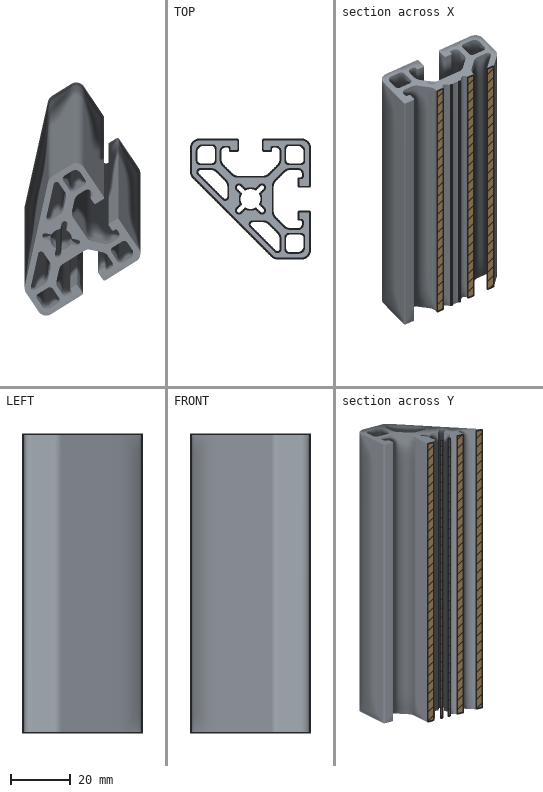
import cadquery as cq
import math

side = 40.0
length = 100.0
half = side / 2
corner_radius = 3.0
bevel_end = 8.0
bevel_wall = 2.0

slot_half_width = 4.1
lip_depth = 4.0
lip_inner_end = 7.0
flange_thickness = 2.5
chamber_half_width = 10.0
chamber_floor = 7.5
diagonal_offset = 2.1
chamber_radius = 1.5
step_radius = 0.5
flank_radius = 3.0
lip_radius = 0.5

channel_inner = 11.7
channel_outer = 18.0
channel_radius = 1.2
channel_outer_radius = 2.0

pocket_tip_radius = 1.0
pocket_flank_radius = 3.0

bore_radius = 3.6
groove_width = 2.0
groove_reach = 6.45

flank_at_floor = chamber_floor - diagonal_offset
flank_at_wall = chamber_half_width + diagonal_offset


def prism(points):
    return cq.Workplane("XY").polyline(points).close().extrude(length)


def round_corners(solid, points, radius):
    """Fillet the lengthwise edges standing on the given section points."""
    tolerance = 1e-3

    def is_wanted(edge):
        centre = edge.Center()
        return any(math.hypot(centre.x - x, centre.y - y) < tolerance for x, y in points)

    return solid.edges("|Z").filter(is_wanted).fillet(radius)


def both_sides(points):
    return points + [(-x, y) for x, y in points]


def swap_axes(points):
    """Mirror section points across the profile's line of symmetry, y = x."""
    return [(y, x) for x, y in points]


def make_body():
    corners = [
        (half, half),
        (-half, half),
        (-half, bevel_end),
        (bevel_end, -half),
        (half, -half),
    ]
    return prism(corners).edges("|Z").fillet(corner_radius)


def make_slot():
    """T-slot cutter opening toward +Y."""
    lip_y = half - lip_depth
    flange_y = half - flange_thickness
    mouth = (slot_half_width, half)
    lip_tip = (slot_half_width, lip_y)
    lip_heel = (lip_inner_end, lip_y)
    step = (lip_inner_end, flange_y)
    shoulder = (chamber_half_width, flange_y)
    wall_end = (chamber_half_width, flank_at_wall)
    floor_end = (flank_at_floor, chamber_floor)
    right = [mouth, lip_tip, lip_heel, step, shoulder, wall_end, floor_end]
    left = [(-x, y) for x, y in reversed(right)]
    slot = prism(right + left)
    slot = round_corners(slot, both_sides([lip_tip, lip_heel]), lip_radius)
    slot = round_corners(slot, both_sides([shoulder]), chamber_radius)
    slot = round_corners(slot, both_sides([step]), step_radius)
    return round_corners(slot, both_sides([wall_end, floor_end]), flank_radius)


def make_corner_channel(x_sign, y_sign):
    inner_x, outer_x = x_sign * channel_inner, x_sign * channel_outer
    inner_y, outer_y = y_sign * channel_inner, y_sign * channel_outer
    outer_corner = (outer_x, outer_y)
    other_corners = [(inner_x, outer_y), (inner_x, inner_y), (outer_x, inner_y)]
    channel = prism([outer_corner] + other_corners)
    channel = round_corners(channel, [outer_corner], channel_outer_radius)
    return round_corners(channel, other_corners, channel_radius)


def make_pocket(arrange):
    """Channel behind the sloping wall; arrange places its section points."""
    slope_sum = bevel_end - half + bevel_wall * math.sqrt(2)
    tips = arrange([
        (slope_sum - chamber_half_width, chamber_half_width),
        (-chamber_floor, slope_sum + chamber_floor),
    ])
    flank = arrange([
        (-chamber_floor, flank_at_floor),
        (-flank_at_wall, chamber_half_width),
    ])
    pocket = prism(tips + flank)
    pocket = round_corners(pocket, tips, pocket_tip_radius)
    return round_corners(pocket, flank, pocket_flank_radius)


def make_bore():
    bore = cq.Workplane("XY").circle(bore_radius).extrude(length)
    for angle in (45, 135):
        groove = cq.Workplane("XY").slot2D(2 * groove_reach, groove_width, angle).extrude(length)
        bore = bore.union(groove)
    return bore


result = make_body()

slot_up = make_slot()
slot_right = slot_up.rotate((0, 0, 0), (0, 0, 1), -90)
result = result.cut(slot_up).cut(slot_right)
mouth_edges = both_sides([(slot_half_width, half)])
result = round_corners(result, mouth_edges + swap_axes(mouth_edges), lip_radius)

for x_sign, y_sign in ((1, 1), (-1, 1), (1, -1)):
    result = result.cut(make_corner_channel(x_sign, y_sign))

result = result.cut(make_pocket(list))
result = result.cut(make_pocket(swap_axes))
result = result.cut(make_bore())